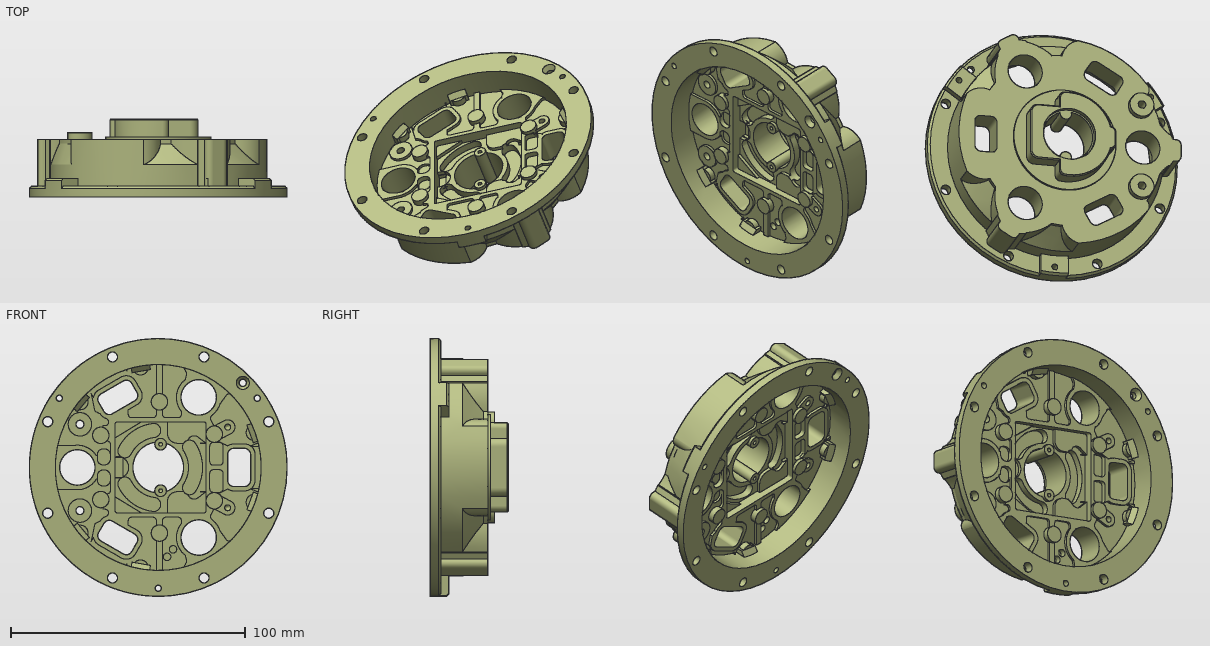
import cadquery as cq
import math


FLANGE_RADIUS = 55.0
FLANGE_THICKNESS = 4.65
FLANGE_CHAMFER = 1.0
BOLT_CIRCLE_RADIUS = 51.0
BOLT_HOLE_DIAMETER = 4.2
BOLT_COUNT = 8
COUNTERSUNK_HOLE_DIAMETER = 3.0
COUNTERSINK_DIAMETER = 5.6
COUNTERSINK_ANGLE = 60.0
COUNTERSUNK_HOLE_ANGLE = 45.0
TAPPED_DIAMETER = 2.53
TAPPED_CIRCLE_RADIUS = 51.5
TAPPED_ANGLES = (35.0, 145.0, 270.0)
LUG_WIDTH = 12.0
LUG_BACK = 8.0

DRUM_RADIUS = 46.4
DRUM_BACK = 24.6
CAVITY_RADIUS = 43.9
RIB_FACE = 11.2
PAD_FACE = 9.6
POCKET_FLOOR = 12.4
RECESS_START = 13.8
RECESS_BACK = 22.7
RECESS_WINDOW_ANGLE = 22.3
RECESS_NOSE_HALF_WIDTH = 7.2
DEEP_WINDOW_SIDE = [(42.5, 28.9), (38.5, 31.5)]
DEEP_NOSE_SIDE = [(42.5, 11.7), (38.5, 14.3)]
SHALLOW_WINDOW_SIDE = [(45.0, 25.6), (43.6, 26.6)]
SHALLOW_NOSE_SIDE = [(45.0, 8.7), (43.6, 11.0)]
NOSE_RADIUS = 51.4
NOSE_HALF_WIDTH = 4.9
NOSE_FLARE_RADIUS = 48.0
NOSE_ROUNDING = 2.4

OPENING_CIRCLE_RADIUS = 34.5
WINDOW_ANGLES = (0.0, 120.0, 240.0)
ROUND_HOLE_ANGLES = (60.0, 180.0, 300.0)
ROUND_HOLE_DIAMETER = 15.0
ROUND_HOLE_RIM_RADIUS = 9.5
WINDOW_SIZE = (9.7, 16.2)
WINDOW_CORNER = 2.6
WINDOW_RIM_SIZE = (13.6, 20.0)
WINDOW_RIM_CORNER = 4.5

PAD_DIAMETER = 7.0
PAD_CENTRES = [(0.5, 28.0), (-24.5, 13.7), (23.9, 14.2)]
EAR_CENTRE = (29.6, 17.2)
EAR_RADIUS = 3.1
EAR_HOLE_DEPTH = 6.0
DRILL_POINT_ANGLE = 118.0
EDGE_BOSS_DIAMETER = 6.6
EDGE_BOSS_CIRCLE_RADIUS = 43.4
EDGE_BOSS_OFFSET_ANGLE = 20.0
RAMP_INNER_DISTANCE = 41.7
RAMP_FRONT = 7.5
RAMP_WIDTH = 8.0
DRAIN_HOLE_CENTRES = [(3.8, -38.1), (6.3, -34.9)]
DRAIN_HOLE_DIAMETER = 3.2
DRAIN_HOLE_DEPTH = 3.0
POCKET_CORNER = 1.5
WEB_POCKET_DEPTH = 2.3

SQUARE_CENTRE_X = 1.0
SQUARE_SIZE = 38.8
SQUARE_CORNER = 1.0
SHELF_FACE = 14.2
CENTRE_FLOOR = 15.7
KIDNEY_FLOOR = 19.0
KIDNEY_RADIUS = 15.9
KIDNEY_WIDTH = 6.0
BORE_DIAMETER = 21.5
BORE_RELIEF_DIAMETER = 23.0
BORE_RELIEF_FRONT = 31.0
POST_DIAMETER = 5.0
POST_HOLE_DIAMETER = 1.62
POST_HOLE_DEPTH = 6.0
POST_CENTRE_Z = 9.9
COLLAR_DIAMETER = 45.0
COLLAR_BACK = 25.7
BOSS_BACK = 33.4
BOSS_DIAMETER = 38.2
BOSS_CHAMFER = 0.5

BUSHING_CENTRE = (-33.4, 18.4)
BUSHING_DIAMETER = 10.0
BUSHING_HEAD_DIAMETER = 10.5
BUSHING_HEAD_FRONT = RECESS_BACK
BUSHING_BACK = 27.5
BUSHING_HOLE_DIAMETER = 3.33

OVERLAP = 1.0


def polar(radius, angle):
    return (radius * math.cos(math.radians(angle)), radius * math.sin(math.radians(angle)))


def plane(front):
    return cq.Workplane("XZ", origin=(0, front, 0))


def disc(diameter, front, back, centres=((0, 0),)):
    return plane(front).pushPoints(centres).circle(diameter / 2).extrude(front - back)


def prism(points, front, back):
    return plane(front).polyline(points).close().extrude(front - back)


def block(size, front, back, centre=(0, 0), corner=0.0):
    body = plane(front).center(*centre).rect(*size).extrude(front - back)
    if corner:
        body = body.edges("|Y").fillet(corner)
    return body


def turned(body, angle):
    """Turn a body about the Y axis, counter-clockwise for an observer in front."""
    return body.rotate((0, 0, 0), (0, 1, 0), -angle)


def both_halves(body):
    return body.union(body.mirror("XY"))


def mirrored(points):
    return [*points, *[(x, -z) for x, z in points]]


def drilled(diameter, front, depth, centres):
    """Blind holes with a conical drill point."""
    cone_height = diameter / 2 / math.tan(math.radians(DRILL_POINT_ANGLE / 2))
    holes = disc(diameter, front, front + depth, centres)
    for x, z in centres:
        bottom = cq.Vector(x, front + depth, z)
        tip = cq.Solid.makeCone(diameter / 2, 0, cone_height, bottom, cq.Vector(0, 1, 0))
        holes = holes.union(cq.Workplane(tip))
    return holes


def make_flange():
    flange = disc(2 * FLANGE_RADIUS, 0, FLANGE_THICKNESS).faces(">Y").edges().chamfer(FLANGE_CHAMFER)
    lug_limit = disc(2 * FLANGE_RADIUS, 0, LUG_BACK).faces(">Y").edges().chamfer(FLANGE_CHAMFER)
    length = FLANGE_RADIUS - CAVITY_RADIUS + OVERLAP
    lug = block((length, LUG_WIDTH), 0, LUG_BACK, (CAVITY_RADIUS + length / 2, 0))
    for angle in TAPPED_ANGLES:
        flange = flange.union(turned(lug, angle).intersect(lug_limit))
    return flange


def make_nose():
    """Radial nose outside the round hole at 0 degrees, flared where it leaves the drum."""
    outline = [
        (OPENING_CIRCLE_RADIUS, RECESS_NOSE_HALF_WIDTH),
        (DRUM_RADIUS, RECESS_NOSE_HALF_WIDTH),
        (NOSE_FLARE_RADIUS, NOSE_HALF_WIDTH),
        (NOSE_RADIUS, NOSE_HALF_WIDTH),
    ]
    lower_half = [(x, -z) for x, z in reversed(outline)]
    nose = prism(outline + lower_half, 0, DRUM_BACK)
    return nose.edges("|Y and >X").fillet(NOSE_ROUNDING)


def make_recess(window_side, nose_side):
    """One tapered recess in the drum, between the window at 0 and the round hole at 60 degrees.

    The window side runs inwards through (radius, angle) points and the nose side through
    (radius, distance from the nose axis) points; the first point lies at mid-depth.
    """
    hole_angle = ROUND_HOLE_ANGLES[0]

    def nose_point(radius, half_width):
        return polar(radius, hole_angle - math.degrees(math.asin(half_width / radius)))

    inner_radius = window_side[-1][0]
    clear_radius = DRUM_RADIUS + 2 * OVERLAP
    nose_end = nose_point(DRUM_RADIUS, RECESS_NOSE_HALF_WIDTH)
    nose_end_angle = math.degrees(math.atan2(nose_end[1], nose_end[0]))
    cutter = (
        plane(RECESS_START)
        .moveTo(*polar(clear_radius, RECESS_WINDOW_ANGLE))
        .lineTo(*polar(DRUM_RADIUS, RECESS_WINDOW_ANGLE))
        .threePointArc(*[polar(*point) for point in window_side])
        .lineTo(*nose_point(*nose_side[-1]))
        .threePointArc(nose_point(*nose_side[0]), nose_end)
        .lineTo(*polar(clear_radius, nose_end_angle))
        .close()
        .extrude(RECESS_START - DRUM_BACK - OVERLAP)
    )
    core = (
        cq.Workplane("XY")
        .moveTo(0, 0)
        .lineTo(DRUM_RADIUS, 0)
        .lineTo(DRUM_RADIUS, RECESS_START)
        .lineTo(inner_radius, RECESS_BACK)
        .lineTo(inner_radius, DRUM_BACK + OVERLAP)
        .lineTo(0, DRUM_BACK + OVERLAP)
        .close()
        .revolve(360, (0, 0, 0), (0, 1, 0))
    )
    return cutter.cut(core)


def make_drum():
    drum = disc(2 * DRUM_RADIUS, 0, DRUM_BACK)
    deep = make_recess(DEEP_WINDOW_SIDE, DEEP_NOSE_SIDE)
    shallow = make_recess(SHALLOW_WINDOW_SIDE, SHALLOW_NOSE_SIDE)
    for recess, turn in ((deep, 0), (shallow, WINDOW_ANGLES[1]), (deep, WINDOW_ANGLES[2])):
        drum = drum.cut(both_halves(turned(recess, turn)))
    for angle in ROUND_HOLE_ANGLES:
        drum = drum.union(turned(make_nose(), angle))
    return drum


def make_rear_boss():
    """Round boss with a lobe towards -X and a narrower block towards +X."""
    lobe_tip, lobe_half_width, lobe_rounding = 20.6, 5.1, 2.5
    round_limit, round_rounding = 4.4, 2.5
    block_tip, block_half_width, block_rounding = 17.0, 12.3, 3.4

    lobe = block((lobe_tip, 2 * lobe_half_width), DRUM_BACK, BOSS_BACK, (-lobe_tip / 2, 0))
    lobe = lobe.edges("|Y and <X").fillet(lobe_rounding)
    narrow = block((block_tip, 2 * block_half_width), DRUM_BACK, BOSS_BACK, (block_tip / 2, 0))
    narrow = narrow.edges("|Y and >X").fillet(block_rounding)
    keep = block((BOSS_DIAMETER,) * 2, DRUM_BACK, BOSS_BACK, (round_limit - BOSS_DIAMETER / 2, 0))
    boss = disc(BOSS_DIAMETER, DRUM_BACK, BOSS_BACK).intersect(keep)
    boss = boss.edges("|Y and >X").fillet(round_rounding)
    collar = disc(COLLAR_DIAMETER, DRUM_BACK, COLLAR_BACK)
    for part in (boss, lobe, narrow):
        collar = collar.union(part.faces(">Y").edges().chamfer(BOSS_CHAMFER))
    return collar


def make_floor_pockets():
    """Shallow pockets of the upper half, left between the ribs, the window rims and the hole rims."""
    rib_left, rib_right, pocket_bottom = -0.8, 1.8, 21.2
    reach = DRUM_RADIUS
    strip_length = reach - OPENING_CIRCLE_RADIUS
    front = RIB_FACE - OVERLAP

    rims = disc(2 * ROUND_HOLE_RIM_RADIUS, front, POCKET_FLOOR,
                [polar(OPENING_CIRCLE_RADIUS, angle) for angle in ROUND_HOLE_ANGLES])
    rim = block(WINDOW_RIM_SIZE, front, POCKET_FLOOR, (OPENING_CIRCLE_RADIUS, 0), WINDOW_RIM_CORNER)
    for angle in WINDOW_ANGLES:
        rims = rims.union(turned(rim, angle))

    between_rib_and_round_hole = (
        [(rib_right, pocket_bottom), (9.9, pocket_bottom), (9.9, 28.0), (10.5, 33.5), (12.2, 40.0),
         (9.0, reach), (rib_right, reach)],
        [(rib_right, pocket_bottom), (9.9, pocket_bottom), (12.2, 40.0)],
    )
    between_rib_and_window = (
        [(rib_left, pocket_bottom), (-12.8, pocket_bottom), (-12.8, 26.0), (-14.0, 37.0),
         (-12.5, reach), (rib_left, reach)],
        [(rib_left, pocket_bottom), (-12.8, pocket_bottom)],
    )
    around_bushing = (
        [(-reach, 9.4), (-OPENING_CIRCLE_RADIUS, 9.4), (-27.0, 5.0), (-20.4, 5.0), (-20.4, 11.3),
         (-23.5, 11.3), (-23.5, 17.8), (-21.2, 17.8), (-21.2, 21.0), (-27.0, 24.0), (-29.0, 33.5),
         (-reach, 28.0)],
        [(-20.4, 11.3), (-21.2, 17.8), (-21.2, 21.0), (-29.0, 33.5)],
    )
    around_ear = (
        [(22.0, 21.0), (23.9, 17.5), (23.9, 12.0), (30.0, 9.0), (39.0, 9.0), (reach, 12.0),
         (reach, 26.0), (29.6, 31.6)],
        [(22.0, 21.0), (29.6, 31.6)],
    )
    floor = disc(2 * CAVITY_RADIUS, front, POCKET_FLOOR)
    raised = floor
    for outline, corners in (between_rib_and_round_hole, between_rib_and_window, around_bushing, around_ear):
        pocket = prism(outline, front, POCKET_FLOOR).cut(rims)
        for x, z in corners:
            corner_edge = cq.selectors.NearestToPointSelector((x, (front + POCKET_FLOOR) / 2, z))
            pocket = pocket.edges("|Y").edges(corner_edge).fillet(POCKET_CORNER)
        raised = raised.cut(pocket)
    pockets = floor.cut(raised)
    strip = block((strip_length, WINDOW_RIM_SIZE[1] - 2 * OVERLAP), front, POCKET_FLOOR,
                  (OPENING_CIRCLE_RADIUS + strip_length / 2, 0))
    for angle in WINDOW_ANGLES[:2]:
        pockets = pockets.union(turned(strip, angle).cut(rims).intersect(floor))
    return pockets


def make_web_pockets():
    """Deep rounded pockets beside the square pocket, in the upper half."""
    left_size, left_centre, left_corner = (5.6, 6.8), (-23.2, 4.5), 2.5
    right_size, right_centre, right_corner = (5.7, 9.7), (24.8, 5.8), 1.6
    front = RIB_FACE - OVERLAP
    back = RIB_FACE + WEB_POCKET_DEPTH
    left = block(left_size, front, back, left_centre, left_corner)
    right = block(right_size, front, back, right_centre, right_corner)
    return left.union(right)


def make_ear():
    """Link from a pad to the small tapped boss beside it."""
    pad_x, pad_z = PAD_CENTRES[2]
    ear_x, ear_z = EAR_CENTRE
    length = math.hypot(ear_x - pad_x, ear_z - pad_z)
    angle = math.degrees(math.atan2(ear_z - pad_z, ear_x - pad_x))
    link = block((length, 2 * EAR_RADIUS), RIB_FACE, POCKET_FLOOR, (length / 2, 0))
    link = turned(link, angle).translate((pad_x, 0, pad_z))
    return link.union(disc(2 * EAR_RADIUS, RIB_FACE, POCKET_FLOOR, [EAR_CENTRE]))


def make_edge_bosses():
    """Half-round bosses along the cavity wall beside each window, with a ramp up the wall."""
    cavity = disc(2 * CAVITY_RADIUS, 0, POCKET_FLOOR)
    boss = disc(EDGE_BOSS_DIAMETER, PAD_FACE, POCKET_FLOOR, [(EDGE_BOSS_CIRCLE_RADIUS, 0)])
    ramp = (
        cq.Workplane("XY")
        .polyline([
            (RAMP_INNER_DISTANCE, PAD_FACE),
            (CAVITY_RADIUS, RAMP_FRONT),
            (CAVITY_RADIUS, POCKET_FLOOR),
            (RAMP_INNER_DISTANCE, POCKET_FLOOR),
        ])
        .close()
        .extrude(RAMP_WIDTH / 2, both=True)
    )
    boss = boss.union(ramp).intersect(cavity)
    offsets = (-EDGE_BOSS_OFFSET_ANGLE, EDGE_BOSS_OFFSET_ANGLE)
    return [turned(boss, window + offset) for window in WINDOW_ANGLES for offset in offsets]


def make_kidney(start, end):
    """Curved slot around the bore, with round ends."""
    inner = KIDNEY_RADIUS - KIDNEY_WIDTH / 2
    outer = KIDNEY_RADIUS + KIDNEY_WIDTH / 2
    middle = (start + end) / 2
    return (
        plane(SHELF_FACE)
        .moveTo(*polar(inner, start))
        .threePointArc(polar(inner, middle), polar(inner, end))
        .tangentArcPoint(polar(outer, end), relative=False)
        .threePointArc(polar(outer, middle), polar(outer, start))
        .tangentArcPoint(polar(inner, start), relative=False)
        .close()
        .extrude(SHELF_FACE - KIDNEY_FLOOR)
    )


def make_square_pocket():
    half = SQUARE_SIZE / 2
    left = SQUARE_CENTRE_X - half
    right = SQUARE_CENTRE_X + half
    centre = (SQUARE_CENTRE_X, 0)
    pocket = block((SQUARE_SIZE, SQUARE_SIZE), 0, SHELF_FACE, centre, SQUARE_CORNER)

    shelf_edge_x, shelf_edge_z, shelf_rounding = 3.9, 10.3, 4.3
    hump_x, hump_z, hump_radius = 15.3, 10.7, 2.8
    floor = block((SQUARE_SIZE, SQUARE_SIZE), 0, CENTRE_FLOOR, centre, SQUARE_CORNER)
    left_shelf_x, left_shelf_z = -7.2, 12.6
    left_shelf = prism([(left, left_shelf_z), (left, half), (left_shelf_x, half)], 0, CENTRE_FLOOR)
    right_shelf = prism(
        [(shelf_edge_x, half), (shelf_edge_x, shelf_edge_z), (right, shelf_edge_z), (right, half)],
        0, CENTRE_FLOOR,
    ).edges("|Y and <X and <Z").fillet(shelf_rounding)
    hump = disc(2 * hump_radius, 0, CENTRE_FLOOR, [(hump_x, hump_z)])
    hump_side_top = (hump_x + hump_radius / math.sqrt(2), hump_z + hump_radius / math.sqrt(2))
    hump_side = prism([(hump_x, hump_z), hump_side_top, (right, shelf_edge_z)], 0, CENTRE_FLOOR)
    shelves = left_shelf.union(right_shelf.cut(hump).cut(hump_side))
    pocket = pocket.union(floor.cut(both_halves(shelves)))

    upper_start, upper_end, right_half_angle = 97.0, 153.5, 33.0
    pocket = pocket.union(both_halves(make_kidney(upper_start, upper_end)))
    pocket = pocket.union(make_kidney(-right_half_angle, right_half_angle))

    notch_edge, notch_half_height, groove_radius, groove_x = -15.0, 4.2, 4.6, -17.2
    notch_width = notch_edge - left
    notch = block((notch_width, 2 * notch_half_height), 0, KIDNEY_FLOOR, (left + notch_width / 2, 0))
    groove = disc(2 * groove_radius, 0, (CENTRE_FLOOR + KIDNEY_FLOOR) / 2, [(groove_x, 0)])
    groove = groove.intersect(block((SQUARE_SIZE, SQUARE_SIZE), 0, KIDNEY_FLOOR, centre))
    return pocket.union(notch).union(groove)


def make_housing():
    housing = make_flange().union(make_drum()).union(make_rear_boss())
    housing = housing.cut(disc(2 * CAVITY_RADIUS, 0, RIB_FACE))
    housing = housing.cut(both_halves(make_floor_pockets())).cut(both_halves(make_web_pockets()))

    pads = disc(PAD_DIAMETER, PAD_FACE, RIB_FACE + WEB_POCKET_DEPTH, mirrored(PAD_CENTRES))
    housing = housing.union(pads).union(both_halves(make_ear()))
    for boss in make_edge_bosses():
        housing = housing.union(boss)

    housing = housing.cut(make_square_pocket()).cut(disc(BORE_DIAMETER, 0, BOSS_BACK))
    housing = housing.cut(disc(BORE_RELIEF_DIAMETER, BORE_RELIEF_FRONT, BOSS_BACK))
    post_centres = mirrored([(SQUARE_CENTRE_X, POST_CENTRE_Z)])
    housing = housing.union(disc(POST_DIAMETER, SHELF_FACE, BORE_RELIEF_FRONT, post_centres))
    housing = housing.cut(drilled(POST_HOLE_DIAMETER, SHELF_FACE, POST_HOLE_DEPTH, post_centres))

    window = block(WINDOW_SIZE, 0, DRUM_BACK, (OPENING_CIRCLE_RADIUS, 0), WINDOW_CORNER)
    for angle in WINDOW_ANGLES:
        housing = housing.cut(turned(window, angle))
    round_holes = [polar(OPENING_CIRCLE_RADIUS, angle) for angle in ROUND_HOLE_ANGLES]
    housing = housing.cut(disc(ROUND_HOLE_DIAMETER, 0, DRUM_BACK, round_holes))

    step = 360 / BOLT_COUNT
    bolts = [polar(BOLT_CIRCLE_RADIUS, (i + 0.5) * step) for i in range(BOLT_COUNT)]
    tapped = [polar(TAPPED_CIRCLE_RADIUS, angle) for angle in TAPPED_ANGLES]
    housing = housing.cut(disc(BOLT_HOLE_DIAMETER, 0, LUG_BACK, bolts))
    housing = housing.cut(disc(TAPPED_DIAMETER, 0, LUG_BACK, tapped))
    drain_bottom = POCKET_FLOOR + DRAIN_HOLE_DEPTH
    housing = housing.cut(disc(DRAIN_HOLE_DIAMETER, RIB_FACE, drain_bottom, DRAIN_HOLE_CENTRES))
    housing = housing.cut(drilled(TAPPED_DIAMETER, RIB_FACE, EAR_HOLE_DEPTH, mirrored([EAR_CENTRE])))
    housing = housing.cut(make_countersunk_hole())

    for bushing in make_bushings(with_hole=False):
        housing = housing.cut(bushing)
    return housing


def make_countersunk_hole():
    centre = polar(BOLT_CIRCLE_RADIUS, COUNTERSUNK_HOLE_ANGLE)
    step = (COUNTERSINK_DIAMETER - COUNTERSUNK_HOLE_DIAMETER) / 2
    depth = step / math.tan(math.radians(COUNTERSINK_ANGLE / 2))
    cone = cq.Solid.makeCone(
        COUNTERSINK_DIAMETER / 2, COUNTERSUNK_HOLE_DIAMETER / 2, depth,
        cq.Vector(centre[0], 0, centre[1]), cq.Vector(0, 1, 0),
    )
    return disc(COUNTERSUNK_HOLE_DIAMETER, 0, LUG_BACK, [centre]).union(cq.Workplane(cone))


def make_bushings(with_hole=True):
    """Bushings through the floor, each with a slightly larger head at the back."""
    bushings = []
    for centre in mirrored([BUSHING_CENTRE]):
        bushing = disc(BUSHING_DIAMETER, RIB_FACE, BUSHING_HEAD_FRONT, [centre])
        bushing = bushing.union(disc(BUSHING_HEAD_DIAMETER, BUSHING_HEAD_FRONT, BUSHING_BACK, [centre]))
        if with_hole:
            bushing = bushing.cut(disc(BUSHING_HOLE_DIAMETER, RIB_FACE, BUSHING_BACK, [centre]))
        bushings.append(bushing)
    return bushings


housing = make_housing()
bushings = make_bushings()
result = cq.Compound.makeCompound([housing.val(), *[bushing.val() for bushing in bushings]])